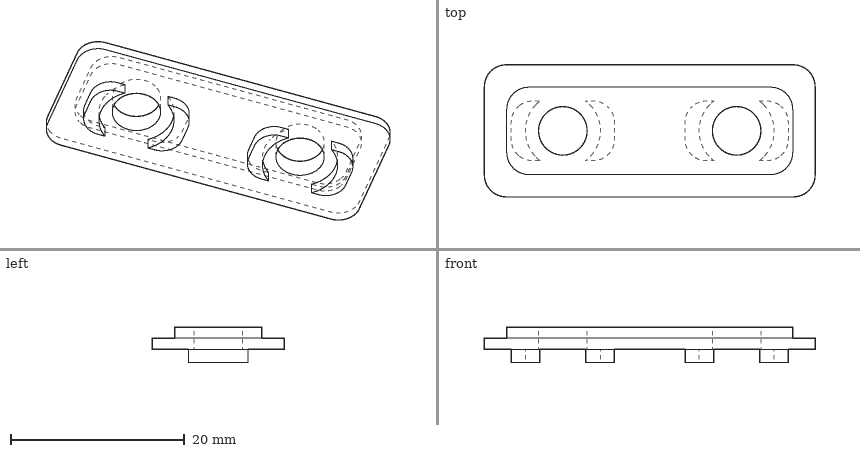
import cadquery as cq

length = 38.1
width = 15.25
height = 4.08
ledge = 2.6
corner_radius = 2.55

hole_diameter = 5.55
hole_spacing = 20.0
lug_pair_length = 11.9
lug_width = 6.85
lug_corner_radius = 2.45
lug_bore_diameter = 8.65
lug_height = 1.52

layer_height = (height - lug_height) / 2
hole_centers = [(-hole_spacing / 2, 0), (hole_spacing / 2, 0)]


def rounded_block(size_x, size_y, size_z, radius):
    """Block standing on Z = 0 with rounded vertical edges."""
    block = cq.Workplane("XY").box(size_x, size_y, size_z, centered=(True, True, False))
    return block.edges("|Z").fillet(radius)


def lug_pair():
    """Rounded block split in two by a bore wider than the block."""
    block = rounded_block(lug_pair_length, lug_width, lug_height, lug_corner_radius)
    bore = cq.Workplane("XY").circle(lug_bore_diameter / 2).extrude(lug_height)
    return block.cut(bore)


plate = rounded_block(length, width, layer_height, corner_radius)
pad = rounded_block(length - 2 * ledge, width - 2 * ledge, layer_height, corner_radius)
body = plate.union(pad.translate((0, 0, layer_height)))

holes = cq.Workplane("XY").pushPoints(hole_centers).circle(hole_diameter / 2).extrude(2 * layer_height)
body = body.cut(holes)

for x, y in hole_centers:
    body = body.union(lug_pair().translate((x, y, -lug_height)))

result = body